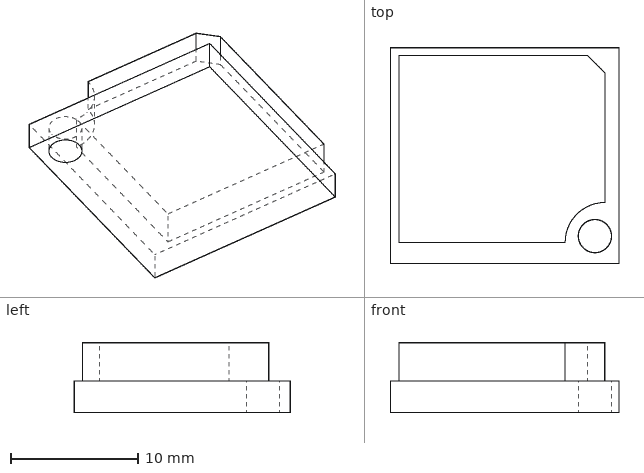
import cadquery as cq

base_length = 18.0
base_width = 17.0
base_height = 2.5

total_height = 5.5
cover_height = total_height - base_height
margin_left = 0.67
margin_right = 1.12
margin_front = 1.67
margin_back = 0.63
corner_chamfer = 1.37
corner_relief_radius = 3.13

hole_diameter = 2.6
hole_from_right = 1.9
hole_from_front = 2.16

cover_left = -base_length / 2 + margin_left
cover_right = base_length / 2 - margin_right
cover_front = -base_width / 2 + margin_front
cover_back = base_width / 2 - margin_back


def make_base():
    """Rectangular plate with its corner hole."""
    plate = cq.Workplane("XY").box(base_length, base_width, base_height, centered=(True, True, False))
    hole = (
        cq.Workplane("XY")
        .center(base_length / 2 - hole_from_right, -base_width / 2 + hole_from_front)
        .circle(hole_diameter / 2)
        .extrude(base_height)
    )
    return plate.cut(hole)


def make_cover():
    """Cover with one chamfered corner and a round relief beside the hole."""
    block = (
        cq.Workplane("XY", origin=(0, 0, base_height))
        .moveTo(cover_left, cover_front)
        .lineTo(cover_right, cover_front)
        .lineTo(cover_right, cover_back - corner_chamfer)
        .lineTo(cover_right - corner_chamfer, cover_back)
        .lineTo(cover_left, cover_back)
        .close()
        .extrude(cover_height)
    )
    relief = (
        cq.Workplane("XY", origin=(cover_right, cover_front, base_height))
        .circle(corner_relief_radius)
        .extrude(cover_height)
    )
    return block.cut(relief)


result = make_base().union(make_cover())